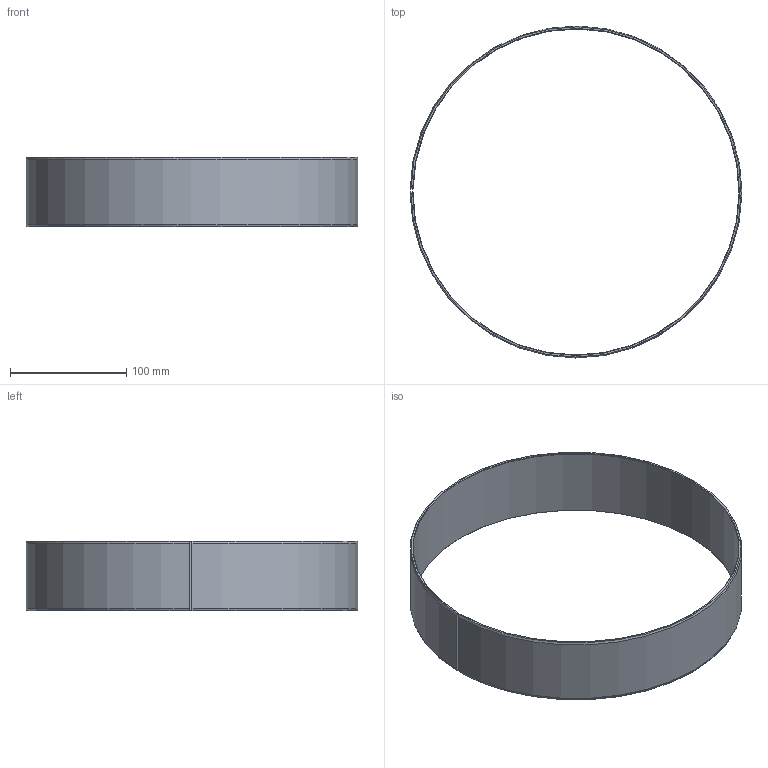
import cadquery as cq
import math

outer_diameter = 285.0
height = 60.0
wall = 2.5
outer_bevel_height = 1.9
outer_bevel_angle = 20.0
inner_chamfer = 0.4
slit_angle = 0.9
full_turn = 360.0

outer_radius = outer_diameter / 2
inner_radius = outer_radius - wall
outer_bevel_depth = outer_bevel_height * math.tan(math.radians(outer_bevel_angle))
outer_rim_radius = outer_radius - outer_bevel_depth
inner_rim_radius = inner_radius + inner_chamfer


def make_section():
    """Wall cross-section at the start of the band, in the XZ plane on the -X side."""
    return (
        cq.Workplane("XZ")
        .moveTo(-inner_rim_radius, 0)
        .lineTo(-outer_rim_radius, 0)
        .lineTo(-outer_radius, outer_bevel_height)
        .lineTo(-outer_radius, height - outer_bevel_height)
        .lineTo(-outer_rim_radius, height)
        .lineTo(-inner_rim_radius, height)
        .lineTo(-inner_radius, height - inner_chamfer)
        .lineTo(-inner_radius, inner_chamfer)
        .close()
    )


def make_band():
    """Revolve the section about Z, stopping short so the slit lies just on the +Y side of Y = 0."""
    axis_start = (0, 0, 0)
    axis_end = (0, 1, 0)
    return make_section().revolve(full_turn - slit_angle, axis_start, axis_end)


result = make_band()